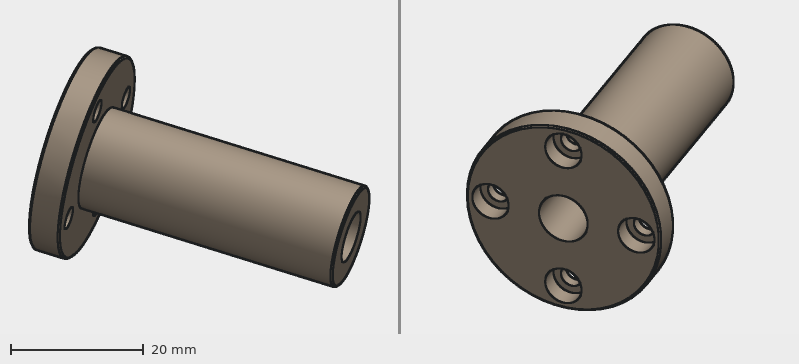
import cadquery as cq

total_length = 46.0
flange_diameter = 32.0
flange_thickness = 5.0
tube_diameter = flange_diameter / 2
bore_diameter = tube_diameter / 2
edge_chamfer = 0.28

hole_count = 4
hole_circle_diameter = 24.0
hole_diameter = 3.5
counterbore_diameter = 6.0
counterbore_depth = 3.1


def cylinder_along_x(diameter, length):
    """Solid cylinder from the flange face at X = 0 towards +X."""
    return cq.Workplane("YZ").circle(diameter / 2).extrude(length)


def cut_mounting_holes(body):
    """Counterbored holes entering from the flange face at X = 0."""
    return (
        body.faces("<X")
        .workplane(origin=(0, 0, 0))
        .polarArray(hole_circle_diameter / 2, 0, 360, hole_count)
        .cboreHole(hole_diameter, counterbore_diameter, counterbore_depth, flange_thickness)
    )


flange = cylinder_along_x(flange_diameter, flange_thickness).edges().chamfer(edge_chamfer)

tube = cylinder_along_x(tube_diameter, total_length).faces(">X").edges().chamfer(edge_chamfer)

body = flange.union(tube).cut(cylinder_along_x(bore_diameter, total_length))
result = cut_mounting_holes(body)